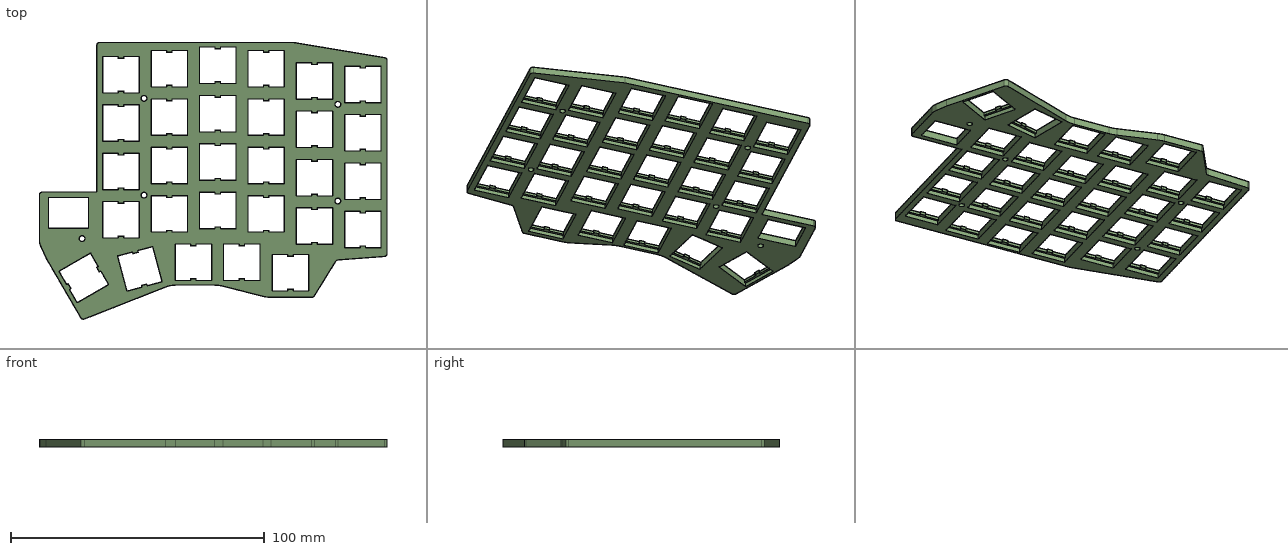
import cadquery as cq

LENGTH = 137.2
WIDTH = 109.2
THICKNESS = 3.0
CORNER_RADIUS = 1.2
SHOULDER_X = 22.6
SHOULDER_Y = 50.2
THUMB_EDGE_Y = 13.5
LOWEST_FLAT_Y = 8.6

OUTLINE = (
    (SHOULDER_X, WIDTH, CORNER_RADIUS),
    (100.1, WIDTH, 0),
    (LENGTH, 103.0, CORNER_RADIUS),
    (LENGTH, 24.8, CORNER_RADIUS),
    (117.2, 23.3, CORNER_RADIUS),
    (108.1, LOWEST_FLAT_Y, CORNER_RADIUS),
    (89.7, LOWEST_FLAT_Y, 12.3),
    (70.8, THUMB_EDGE_Y, 13.7),
    (51.7, THUMB_EDGE_Y, 10.7),
    (16.9, -0.3, CORNER_RADIUS),
    (2.7, 24.0, 0),
    (0, 30.0, 5.5),
    (0, SHOULDER_Y, CORNER_RADIUS),
    (SHOULDER_X, SHOULDER_Y, 0),
)

PITCH = 19.1
ROWS = 4
FIRST_COLUMN_X = 32.2
BOTTOM_ROW_Y = (39.2, 41.5, 43.0, 41.5, 36.8, 35.4)

INNER_THUMB_X = 60.8
INNER_THUMB_Y = 22.5
THUMB_KEYS = (
    (17.5, 16.3, -60),
    (39.6, 19.9, 15),
    (INNER_THUMB_X, INNER_THUMB_Y, 0),
    (INNER_THUMB_X + PITCH, INNER_THUMB_Y, 0),
    (99.0, 18.4, 0),
)

SWITCH_SIZE = 14.3
LIP_THICKNESS = 1.2
POCKET_OVERHANG = 0.8
TAB_WIDTH = 2.2
TAB_REACH = 0.7

WINDOW_CENTER = (11.5, 42.0)
WINDOW_LENGTH = 15.6
WINDOW_WIDTH = 12.1

HOLE_DIAMETER = 2.2
HOLE_ROW_GAP = 2 * PITCH
LEFT_HOLE = (41.3, 49.0)
RIGHT_HOLE = (117.7, 46.6)
THUMB_HOLE = (16.9, 31.8)


def block(length, width, height):
    """A block centred in X and Y, standing on Z = 0."""
    return cq.Workplane("XY").box(length, width, height, centered=(True, True, False))


def make_plate():
    corners = [(x, y) for x, y, radius in OUTLINE]
    plate = cq.Workplane("XY").polyline(corners).close().extrude(THICKNESS)
    for x, y, radius in OUTLINE:
        if radius > 0:
            corner_edge = cq.NearestToPointSelector((x, y, THICKNESS / 2))
            plate = plate.edges(corner_edge).fillet(radius)
    return plate


def make_switch_cutter():
    """The space removed for one switch, centred on the Z axis with its tabs on the Y sides."""
    opening = block(SWITCH_SIZE, SWITCH_SIZE, THICKNESS)
    tab = block(TAB_WIDTH, 2 * TAB_REACH, THICKNESS)
    for side in (-1, 1):
        opening = opening.cut(tab.translate((0, side * SWITCH_SIZE / 2, 0)))
    pocket = block(SWITCH_SIZE, SWITCH_SIZE + 2 * POCKET_OVERHANG, THICKNESS - LIP_THICKNESS)
    return opening.union(pocket)


def key_places():
    """Centre X, centre Y and turn of every switch."""
    places = list(THUMB_KEYS)
    for column, bottom_y in enumerate(BOTTOM_ROW_Y):
        for row in range(ROWS):
            places.append((FIRST_COLUMN_X + column * PITCH, bottom_y + row * PITCH, 0))
    return places


def make_window():
    return block(WINDOW_LENGTH, WINDOW_WIDTH, THICKNESS).translate((*WINDOW_CENTER, 0))


def make_screw_holes():
    centers = [THUMB_HOLE]
    for x, y in (LEFT_HOLE, RIGHT_HOLE):
        centers += [(x, y), (x, y + HOLE_ROW_GAP)]
    return cq.Workplane("XY").pushPoints(centers).circle(HOLE_DIAMETER / 2).extrude(THICKNESS)


result = make_plate()
switch_cutter = make_switch_cutter()
for x, y, turn in key_places():
    result = result.cut(switch_cutter.rotate((0, 0, 0), (0, 0, 1), turn).translate((x, y, 0)))
result = result.cut(make_window()).cut(make_screw_holes())